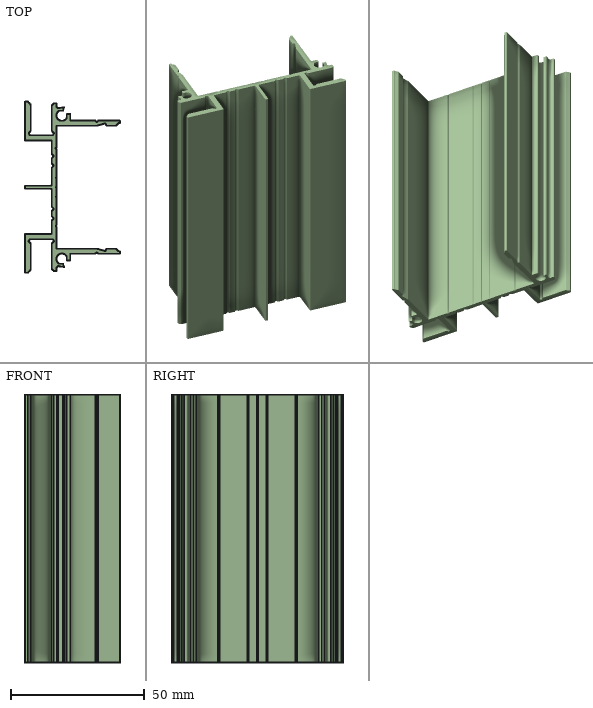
import cadquery as cq
import math

LENGTH = 100.0
DEPTH = 35.5
HALF_HEIGHT = 32.0

LEG_THICKNESS = 2.2
LEG_TIP_CHAMFER = 1.2
FLOOR_OUTER = 17.4
FLOOR_INNER = 19.48
RELIEF_DEPTH = 0.8
RELIEF_SHOULDER = 0.7
RELIEF_TAPER = 0.4

WEB_BACK = 10.0
WEB_FRONT = 11.85
WEB_TOP = 31.35
WEB_TIP_CHAMFER = 0.8
RIB_THICKNESS = 1.2

FLANGE_INNER = 22.9
FLANGE_OUTER = 24.9
FLANGE_TIP_BEVEL = 1.0
FLANGE_LIP = 0.5
CATCH_START = 26.9
CATCH_DEEPEST = 30.0
CATCH_END = 30.45
CATCH_DEPTH = 0.9

PORT_X = 13.8
PORT_Y = 26.8
PORT_RADIUS = 2.0
POST_INNER = 15.6
POST_OUTER = 16.95
POST_TOP = 27.4
HOOK_BOTTOM = 28.5
HOOK_TOP = 29.9
HOOK_END = 14.35
HOOK_TIP_OVERHANG = 0.35
HOOK_ROOT_X = 12.5
HOOK_OUTER_RADIUS = 2.95
HOOK_TIP_START = 14.2

WEB_BACK_GROOVES_Y = (8.05, 11.6)
WEB_BACK_GROOVE_DEPTH = 0.75
WEB_FRONT_GROOVE_Y = 14.5
CENTRE_GROOVE_Y = 3.6
WEB_FRONT_GROOVE_DEPTH = 0.4
CENTRE_GROOVE_DEPTH = 0.25
FLANGE_GROOVE_X = 26.8
FLANGE_GROOVE_DEPTH = 0.5
FLANGE_GROOVE_HALF_WIDTH = 0.65

CORNER_RADIUS = 0.3
LEG_INNER_TIP_RADIUS = 0.7


def hook_back_y(x):
    """Height of the hook's outer arc, which is concentric with the screw port."""
    return PORT_Y + math.sqrt(HOOK_OUTER_RADIUS**2 - (x - PORT_X) ** 2)


def half_profile():
    """Upper half of the section, from the centre line to the tips."""
    hook_height = HOOK_BOTTOM - PORT_Y
    hook_start_x = PORT_X - math.sqrt(PORT_RADIUS**2 - hook_height**2)
    post_offset = POST_INNER - PORT_X
    post_start_y = PORT_Y - math.sqrt(PORT_RADIUS**2 - post_offset**2)
    arc_middle = PORT_RADIUS * math.sqrt(0.5)
    hook_middle_x = (HOOK_ROOT_X + HOOK_TIP_START) / 2
    relief_top = FLOOR_INNER + RELIEF_SHOULDER
    leg_relief_x = LEG_THICKNESS - RELIEF_DEPTH
    web_relief_x = WEB_BACK + RELIEF_DEPTH

    outline = cq.Workplane("XY").moveTo(WEB_BACK, 0)
    outline = outline.lineTo(WEB_BACK, FLOOR_OUTER)
    outline = outline.lineTo(0, FLOOR_OUTER)
    outline = outline.lineTo(0, HALF_HEIGHT)
    outline = outline.lineTo(LEG_THICKNESS - LEG_TIP_CHAMFER, HALF_HEIGHT)
    outline = outline.lineTo(LEG_THICKNESS, HALF_HEIGHT - LEG_TIP_CHAMFER)
    outline = outline.lineTo(LEG_THICKNESS, relief_top + RELIEF_DEPTH)
    outline = outline.lineTo(leg_relief_x, relief_top)
    outline = outline.lineTo(leg_relief_x + RELIEF_TAPER, FLOOR_INNER)
    outline = outline.lineTo(web_relief_x - RELIEF_TAPER, FLOOR_INNER)
    outline = outline.lineTo(web_relief_x, relief_top)
    outline = outline.lineTo(WEB_BACK, relief_top + RELIEF_DEPTH)
    outline = outline.lineTo(WEB_BACK, WEB_TOP - WEB_TIP_CHAMFER)
    outline = outline.lineTo(WEB_BACK + WEB_TIP_CHAMFER, WEB_TOP)
    outline = outline.lineTo(WEB_FRONT, WEB_TOP)
    outline = outline.lineTo(WEB_FRONT, HOOK_TOP)
    outline = outline.lineTo(HOOK_ROOT_X, hook_back_y(HOOK_ROOT_X))
    outline = outline.threePointArc(
        (hook_middle_x, hook_back_y(hook_middle_x)), (HOOK_TIP_START, hook_back_y(HOOK_TIP_START))
    )
    outline = outline.lineTo(HOOK_END + HOOK_TIP_OVERHANG, HOOK_TOP)
    outline = outline.lineTo(HOOK_END, (HOOK_BOTTOM + HOOK_TOP) / 2)
    outline = outline.lineTo(HOOK_END, HOOK_BOTTOM)
    outline = outline.lineTo(hook_start_x, HOOK_BOTTOM)
    outline = outline.threePointArc(
        (PORT_X - arc_middle, PORT_Y - arc_middle), (POST_INNER, post_start_y)
    )
    outline = outline.lineTo(POST_INNER, POST_TOP)
    outline = outline.lineTo(POST_OUTER, POST_TOP)
    outline = outline.lineTo(POST_OUTER, FLANGE_OUTER)
    outline = outline.lineTo(DEPTH, FLANGE_OUTER)
    outline = outline.lineTo(DEPTH, FLANGE_INNER + FLANGE_TIP_BEVEL)
    outline = outline.lineTo(DEPTH - FLANGE_LIP, FLANGE_INNER + FLANGE_TIP_BEVEL)
    outline = outline.lineTo(DEPTH - FLANGE_LIP - FLANGE_TIP_BEVEL, FLANGE_INNER)
    outline = outline.lineTo(CATCH_END, FLANGE_INNER)
    outline = outline.lineTo(CATCH_DEEPEST, FLANGE_INNER + CATCH_DEPTH)
    outline = outline.lineTo(CATCH_START, FLANGE_INNER)
    outline = outline.lineTo(WEB_FRONT, FLANGE_INNER)
    outline = outline.lineTo(WEB_FRONT, 0)
    return outline.close().extrude(LENGTH)


def v_groove(x, y, reach_x, reach_y):
    """Diamond bar centred on a face; it cuts a V that reaches the given distances along X and Y."""
    corners = [(x - reach_x, y), (x, y - reach_y), (x + reach_x, y), (x, y + reach_y)]
    return cq.Workplane("XY").polyline(corners).close().extrude(LENGTH)


def grooved_half():
    """Upper half with the V grooves of the web and the flange."""
    grooves = [(WEB_BACK, y, WEB_BACK_GROOVE_DEPTH) for y in WEB_BACK_GROOVES_Y]
    grooves.append((WEB_FRONT, WEB_FRONT_GROOVE_Y, WEB_FRONT_GROOVE_DEPTH))
    grooves += [(WEB_FRONT, y, CENTRE_GROOVE_DEPTH) for y in (0, CENTRE_GROOVE_Y)]

    half = half_profile()
    for x, y, depth in grooves:
        half = half.cut(v_groove(x, y, depth, depth))
    flange_groove = v_groove(
        FLANGE_GROOVE_X, FLANGE_OUTER, FLANGE_GROOVE_HALF_WIDTH, FLANGE_GROOVE_DEPTH
    )
    return half.cut(flange_groove)


def centre_rib():
    """Thin rib on the centre line, from the web out to the plane of the legs."""
    return cq.Workplane("XY").box(WEB_BACK, RIB_THICKNESS, LENGTH, centered=(False, True, False))


def round_corners(body, corners, radius):
    """Fillet the lengthwise edges at the given upper-half corners and at their mirror images."""
    for x, y in corners:
        for side in (1, -1):
            edge = cq.selectors.NearestToPointSelector((x, side * y, LENGTH / 2))
            body = body.edges("|Z").edges(edge).fillet(radius)
    return body


upper_half = grooved_half()
lower_half = upper_half.mirror("XZ")
profile = upper_half.union(lower_half).union(centre_rib()).clean()

rounded_corners = [
    (0, RIB_THICKNESS / 2),
    (WEB_BACK, RIB_THICKNESS / 2),
    (WEB_BACK, FLOOR_OUTER),
    (0, FLOOR_OUTER),
    (0, HALF_HEIGHT),
    (WEB_FRONT, WEB_TOP),
    (POST_INNER, POST_TOP),
    (POST_OUTER, POST_TOP),
    (DEPTH, FLANGE_OUTER),
    (DEPTH, FLANGE_INNER + FLANGE_TIP_BEVEL),
]
leg_inner_tip = [(LEG_THICKNESS, HALF_HEIGHT - LEG_TIP_CHAMFER)]
rounded_profile = round_corners(profile, rounded_corners, CORNER_RADIUS)
result = round_corners(rounded_profile, leg_inner_tip, LEG_INNER_TIP_RADIUS)